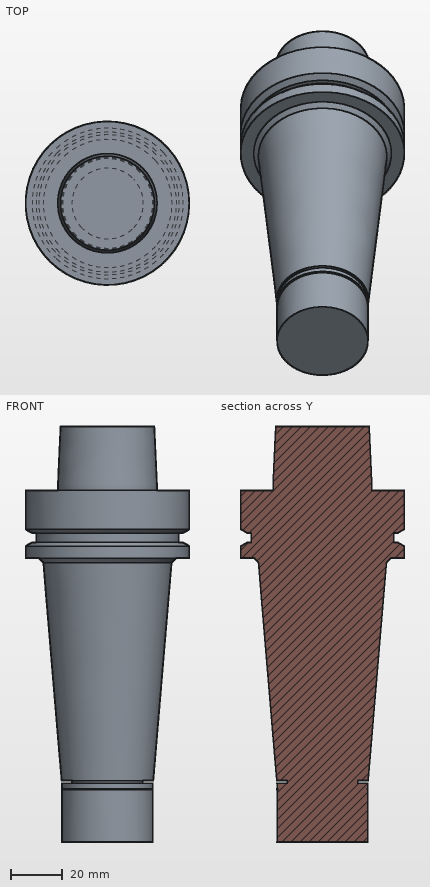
import cadquery as cq

total_height = 160.0
flange_diameter = 63.0

shank_top_diameter = 36.2
shank_base_diameter = 38.2
shank_base_height = 1.8

flange_top = 135.4
upper_rim_bottom = 120.3
lower_rim_top = 114.0
flange_bottom = 109.3
groove_diameter = 55.0
groove_bevel_height = 1.5
groove_ledge_diameter = 58.0

shoulder_top_diameter = 53.0
shoulder_height = 1.8

body_top_diameter = 49.5
body_bottom_diameter = 35.4
body_bottom = 23.7

relief_diameter = 27.4
relief_height = 1.0
collar_diameter = 35.0
collar_line_diameter = 34.5
collar_line_top = 20.6
collar_line_height = 0.5

shank_base_top = flange_top + shank_base_height
body_top = flange_bottom - shoulder_height
collar_top = body_bottom - relief_height

collar_stations = [
    (collar_diameter, 0),
    (collar_diameter, collar_line_top - collar_line_height),
    (collar_line_diameter, collar_line_top - collar_line_height),
    (collar_line_diameter, collar_line_top),
    (collar_diameter, collar_line_top),
    (collar_diameter, collar_top),
]
body_stations = [
    (relief_diameter, collar_top),
    (relief_diameter, body_bottom),
    (body_bottom_diameter, body_bottom),
    (body_top_diameter, body_top),
]
flange_stations = [
    (shoulder_top_diameter, flange_bottom),
    (flange_diameter, flange_bottom),
    (flange_diameter, lower_rim_top),
    (groove_ledge_diameter, lower_rim_top + groove_bevel_height),
    (groove_diameter, lower_rim_top + groove_bevel_height),
    (groove_diameter, upper_rim_bottom - groove_bevel_height),
    (groove_ledge_diameter, upper_rim_bottom - groove_bevel_height),
    (flange_diameter, upper_rim_bottom),
    (flange_diameter, flange_top),
]
shank_stations = [
    (shank_base_diameter, flange_top),
    (shank_base_diameter, shank_base_top),
    (shank_top_diameter, total_height),
]


def turn(stations):
    """Revolve a stepped outline about the Z axis."""
    outline = [(diameter / 2, height) for diameter, height in stations]
    axis_ends = [(0, total_height), (0, 0)]
    profile = cq.Workplane("XZ").polyline(outline + axis_ends).close()
    return profile.revolve(360, (0, 0, 0), (0, 1, 0))


result = turn(collar_stations + body_stations + flange_stations + shank_stations)